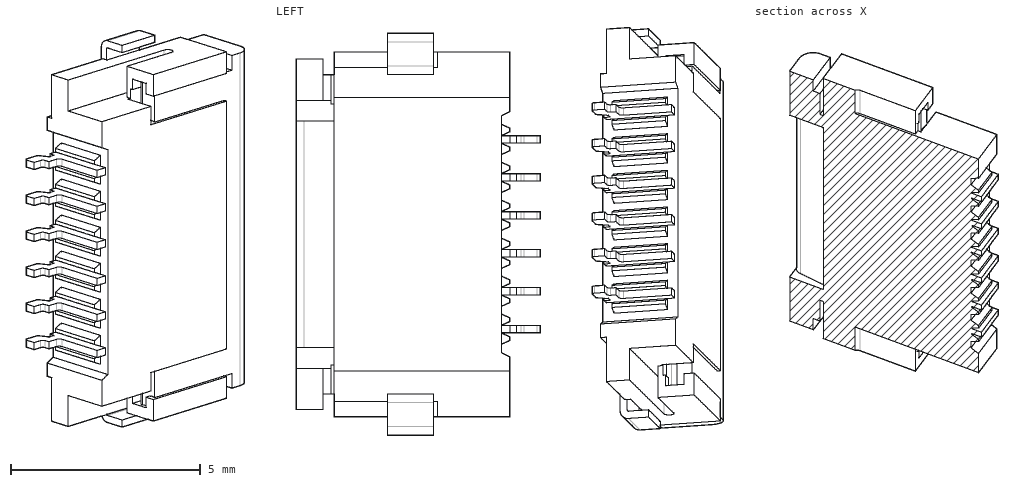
import cadquery as cq


BODY_DEPTH = 2.05
BODY_FRONT = -2.42
BODY_BACK = 2.21
BODY_HALF_LENGTH = 4.81
MOUNT_FACE_HALF_LENGTH = 3.6
END_SETBACK = 0.16

TAB_TIP_Z = 5.3
TAB_THICKNESS = 0.2
TAB_REACH = 0.78
TAB_BEND_RADIUS = 0.23
TAB_INNER_RADIUS = TAB_BEND_RADIUS - TAB_THICKNESS
TAB_LOWER_Z = 4.2
TAB_WIDTH = 1.22
TAB_CENTRE_Y = 0.2
RELIEF_X = 0.32
RELIEF_Z = 4.4

NOTCH_X = 0.79
NOTCH_FLOOR_Z = 3.95
NOTCH_BACK = -0.51
SLIT_WIDTH = 0.27
SLIT_END = 1.28
LATCH_FRONT = -0.6
LATCH_LEFT = 1.2
LATCH_LOW_Z = 3.44
LATCH_TOP_Z = 4.21
LATCH_UPPER_LEFT = 1.27
LATCH_UPPER_RIGHT = 1.77
LATCH_UPPER_Z = 4.5

RECESS_FLOOR = -2.2
RECESS_FLOOR_HALF = 3.12
RECESS_MOUTH_HALF = 3.23
RIB_LEFT = 0.31
RIB_RIGHT = 1.77
RIB_BASE = (0.1, 0.4)
RIB_TIP = (0.2, 0.3)

CONTACT_COUNT = 6
CONTACT_PITCH = 1.0
CONTACT_THICKNESS = 0.2
TAIL_PROUD = 0.035
TAIL_END = -3.22
TAIL_WING_LEFT = 0.1
TAIL_TOE_WIDTH = 0.36
TAIL_TOE_RADIUS = 0.09
TAIL_SHOULDER_Y = -2.74
TAIL_SHOULDER_RADIUS = 0.08
TAIL_NECK_LEFT = 0.26
TAIL_NECK_RIGHT = 0.55
TAIL_NECK_Y = -2.6
TAIL_HEEL_Y = -2.9
TAIL_HEEL_RADIUS = 0.08
TAIL_BAR_Y = -2.51
TAIL_BAR_RADIUS = 0.1

FLAP_LEFT = 0.98
ARM_LEFT = 0.9
ACTUATOR_RIGHT = 1.96
ACTUATOR_BACK = 3.21
ACTUATOR_CORNER_RADIUS = 0.42
FLAP_HALF_LENGTH = 3.53
GRIP_HALF_LENGTH = 4.62
GRIP_LEFT = 0.19
GRIP_FRONT = 2.5
ARM_RELIEF_X = 1.22
ARM_RELIEF_Y = 2.3
LIP_HALF_LENGTH = 2.98
LIP_ROOT_X = 1.15
LIP_EDGE_X = 1.25
LIP_RADIUS = 0.2

OVERLAP = 0.2


def box(x0, x1, y0, y1, z0, z1):
    """Box given by its limits along each axis."""
    return cq.Workplane("XY").box(x1 - x0, y1 - y0, z1 - z0, centered=False).translate((x0, y0, z0))


def both_ends(shape):
    """The shape together with its mirror image in the plane Z = 0."""
    return shape.union(shape.mirror("XY"))


def housing_block():
    core = box(0, BODY_DEPTH, BODY_FRONT, BODY_BACK, -MOUNT_FACE_HALF_LENGTH, MOUNT_FACE_HALF_LENGTH)
    ends = box(END_SETBACK, BODY_DEPTH, BODY_FRONT, BODY_BACK, -BODY_HALF_LENGTH, BODY_HALF_LENGTH)
    return core.union(ends)


def tab_relief():
    return box(0, RELIEF_X, NOTCH_BACK, BODY_BACK, RELIEF_Z, BODY_HALF_LENGTH)


def end_notch():
    """Open front corner, continued along +Y by a round-ended slit."""
    corner = box(NOTCH_X, BODY_DEPTH, BODY_FRONT, NOTCH_BACK, NOTCH_FLOOR_Z, BODY_HALF_LENGTH)
    slit_radius = SLIT_WIDTH / 2
    slit_right = NOTCH_X + SLIT_WIDTH
    slit = (
        cq.Workplane("XY", origin=(0, 0, NOTCH_FLOOR_Z))
        .moveTo(NOTCH_X, BODY_FRONT)
        .lineTo(NOTCH_X, SLIT_END - slit_radius)
        .threePointArc((NOTCH_X + slit_radius, SLIT_END), (slit_right, SLIT_END - slit_radius))
        .lineTo(slit_right, BODY_FRONT)
        .close()
        .extrude(BODY_HALF_LENGTH - NOTCH_FLOOR_Z)
    )
    return corner.union(slit)


def latch_pocket():
    """Stepped pocket behind the notch; its back wall is the rounded nose of the latch arm."""
    side_y = -0.12
    flank_end = (1.37, -0.28)
    nose_mid = (1.45, -0.37)
    nose_tip = (1.56, -0.42)
    hollow_mid = (1.78, -0.34)
    hollow_end = (ACTUATOR_RIGHT, -0.38)
    bounds = (
        cq.Workplane("XY", origin=(0, 0, LATCH_LOW_Z))
        .moveTo(LATCH_LEFT, LATCH_FRONT)
        .lineTo(LATCH_LEFT, side_y)
        .lineTo(*flank_end)
        .threePointArc(nose_mid, nose_tip)
        .threePointArc(hollow_mid, hollow_end)
        .lineTo(ACTUATOR_RIGHT, LATCH_FRONT)
        .close()
        .extrude(LATCH_UPPER_Z - LATCH_LOW_Z)
    )
    lower = box(LATCH_LEFT, BODY_DEPTH, LATCH_FRONT, BODY_BACK, LATCH_LOW_Z, LATCH_TOP_Z)
    upper = box(LATCH_UPPER_LEFT, LATCH_UPPER_RIGHT, LATCH_FRONT, BODY_BACK, LATCH_LOW_Z, LATCH_UPPER_Z)
    clearance = box(ACTUATOR_RIGHT, BODY_DEPTH, LATCH_FRONT, BODY_BACK, LATCH_LOW_Z, LATCH_TOP_Z)
    return bounds.intersect(lower.union(upper)).union(clearance)


def tail_recess():
    """Shallow recess in the front face with sloping ends, open along X."""
    return (
        cq.Workplane("YZ")
        .polyline([
            (BODY_FRONT, -RECESS_MOUTH_HALF),
            (RECESS_FLOOR, -RECESS_FLOOR_HALF),
            (RECESS_FLOOR, RECESS_FLOOR_HALF),
            (BODY_FRONT, RECESS_MOUTH_HALF),
        ])
        .close()
        .extrude(BODY_DEPTH)
    )


def guide_rib():
    """Trapezoidal rib on the recess floor, just above a contact centred on Z = 0."""
    return (
        cq.Workplane("YZ", origin=(RIB_LEFT, 0, 0))
        .polyline([
            (RECESS_FLOOR + OVERLAP, RIB_BASE[0]),
            (RECESS_FLOOR, RIB_BASE[0]),
            (BODY_FRONT, RIB_TIP[0]),
            (BODY_FRONT, RIB_TIP[1]),
            (RECESS_FLOOR, RIB_BASE[1]),
            (RECESS_FLOOR + OVERLAP, RIB_BASE[1]),
        ])
        .close()
        .extrude(RIB_RIGHT - RIB_LEFT)
    )


def contact():
    """Flat stamped contact centred on Z = 0: cross bar with a short wing, neck and solder toe."""
    toe_right = TAIL_TOE_WIDTH - TAIL_PROUD
    root_y = RECESS_FLOOR + OVERLAP
    blank = (
        cq.Workplane("XY", origin=(0, 0, -CONTACT_THICKNESS / 2))
        .polyline([
            (TAIL_WING_LEFT, root_y),
            (TAIL_WING_LEFT, BODY_FRONT),
            (TAIL_NECK_LEFT, BODY_FRONT),
            (TAIL_NECK_LEFT, TAIL_NECK_Y),
            (-TAIL_PROUD, TAIL_SHOULDER_Y),
            (-TAIL_PROUD, TAIL_END),
            (toe_right, TAIL_END),
            (toe_right, TAIL_HEEL_Y),
            (TAIL_NECK_RIGHT, TAIL_HEEL_Y),
            (TAIL_NECK_RIGHT, TAIL_BAR_Y),
            (ACTUATOR_RIGHT, TAIL_BAR_Y),
            (ACTUATOR_RIGHT, root_y),
        ])
        .close()
        .extrude(CONTACT_THICKNESS)
    )
    bends = [
        (-TAIL_PROUD, TAIL_SHOULDER_Y, TAIL_SHOULDER_RADIUS),
        (-TAIL_PROUD, TAIL_END, TAIL_TOE_RADIUS),
        (toe_right, TAIL_HEEL_Y, TAIL_HEEL_RADIUS),
        (TAIL_NECK_RIGHT, TAIL_BAR_Y, TAIL_BAR_RADIUS),
    ]
    for x, y, radius in bends:
        blank = blank.edges(cq.selectors.NearestToPointSelector((x, y, 0))).fillet(radius)
    return blank


def hold_down_tab():
    """Bent strip: free upper leg, upright, and a lower leg buried in the housing."""
    strip = (
        box(0, TAB_REACH, -TAB_WIDTH / 2, TAB_WIDTH / 2, TAB_LOWER_Z, TAB_TIP_Z)
        .edges("|Y and <X")
        .fillet(TAB_BEND_RADIUS)
    )
    opening = (
        box(
            TAB_THICKNESS, TAB_REACH, -TAB_WIDTH / 2, TAB_WIDTH / 2,
            TAB_LOWER_Z + TAB_THICKNESS, TAB_TIP_Z - TAB_THICKNESS,
        )
        .edges("|Y and <X")
        .fillet(TAB_INNER_RADIUS)
    )
    return strip.cut(opening).translate((0, TAB_CENTRE_Y, 0))


def actuator_end():
    """Grip block and the arm that carries it into the housing."""
    grip = (
        box(GRIP_LEFT, ACTUATOR_RIGHT, GRIP_FRONT, ACTUATOR_BACK, FLAP_HALF_LENGTH, GRIP_HALF_LENGTH)
        .edges("|Z and >X and >Y")
        .fillet(ACTUATOR_CORNER_RADIUS)
    )
    arm = box(ARM_LEFT, ACTUATOR_RIGHT, BODY_BACK - OVERLAP, GRIP_FRONT, FLAP_HALF_LENGTH, LATCH_TOP_Z)
    return grip.union(arm)


def arm_relief():
    """Cut that thins the arm, and the flap edge beside it, where they meet the housing."""
    return box(ARM_LEFT, ARM_RELIEF_X, BODY_BACK, ARM_RELIEF_Y, LATCH_LOW_Z, LATCH_TOP_Z)


def actuator_flap():
    """Flap between the grips, thinned along its middle into a round-edged lip."""
    flap = (
        box(
            FLAP_LEFT, ACTUATOR_RIGHT, BODY_BACK - OVERLAP, ACTUATOR_BACK,
            -FLAP_HALF_LENGTH, FLAP_HALF_LENGTH,
        )
        .edges("|Z and >X and >Y")
        .fillet(ACTUATOR_CORNER_RADIUS)
    )
    hollow = (
        cq.Workplane("XY", origin=(0, 0, -LIP_HALF_LENGTH))
        .moveTo(FLAP_LEFT, BODY_BACK)
        .lineTo(LIP_ROOT_X, BODY_BACK)
        .lineTo(LIP_EDGE_X, ACTUATOR_BACK - LIP_RADIUS)
        .radiusArc((LIP_EDGE_X + LIP_RADIUS, ACTUATOR_BACK), LIP_RADIUS)
        .lineTo(FLAP_LEFT, ACTUATOR_BACK)
        .close()
        .extrude(2 * LIP_HALF_LENGTH)
    )
    return flap.cut(hollow)


def build():
    part = housing_block().cut(tail_recess())
    for cutter in (tab_relief(), end_notch(), latch_pocket()):
        part = part.cut(both_ends(cutter))

    rib_pair = both_ends(guide_rib())
    tail = contact()
    for index in range(CONTACT_COUNT):
        z = (index - (CONTACT_COUNT - 1) / 2) * CONTACT_PITCH
        part = part.union(rib_pair.translate((0, 0, z))).union(tail.translate((0, 0, z)))

    actuator = actuator_flap().union(both_ends(actuator_end())).cut(both_ends(arm_relief()))
    return part.union(actuator).union(both_ends(hold_down_tab()))


result = build()